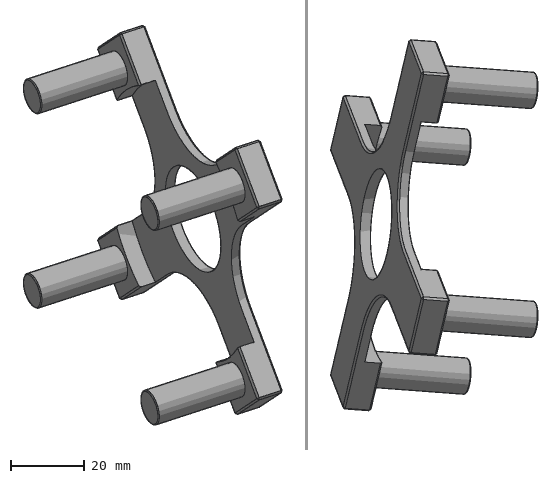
import cadquery as cq
import math

arm_count = 4
arm_reach = 54.0
arm_width = 18.1
web_thickness = 3.0
pad_thickness = 8.0
pad_inner_radius = 39.5
crotch_radius = 20.0
bore_diameter = 30.5
edge_chamfer = 0.55

overall_depth = 35.3
pin_diameter = 10.0
pin_tip_chamfer = 0.3
pin_circle_radius = 45.75

arm_step = 360.0 / arm_count
half_step = arm_step / 2
arm_angles = [half_step + i * arm_step for i in range(arm_count)]
half_width = arm_width / 2
pin_length = overall_depth - pad_thickness

half_step_rad = math.radians(half_step)
crotch_centre_radius = (half_width + crotch_radius) / math.sin(half_step_rad)
tangent_reach = crotch_centre_radius * math.cos(half_step_rad)
waist_radius = crotch_centre_radius - crotch_radius


def turned(along, across, angle):
    """XZ point given along and across an arm that stands at the given angle."""
    a = math.radians(angle)
    x = along * math.cos(a) - across * math.sin(a)
    z = along * math.sin(a) + across * math.cos(a)
    return x, z


def spider_outline():
    """Cross outline with square arm ends and tangent arcs between the arms."""
    outline = cq.Workplane("XZ").moveTo(*turned(tangent_reach, -half_width, arm_angles[0]))
    for angle in arm_angles:
        waist = turned(waist_radius, 0, angle + half_step)
        next_arm_start = turned(tangent_reach, -half_width, angle + arm_step)
        outline = (
            outline.lineTo(*turned(arm_reach, -half_width, angle))
            .lineTo(*turned(arm_reach, half_width, angle))
            .lineTo(*turned(tangent_reach, half_width, angle))
            .threePointArc(waist, next_arm_start)
        )
    return outline.close()


def is_arm_corner(edge):
    """True for an edge that stands at the outer end of an arm."""
    centre = edge.Center()
    return math.hypot(centre.x, centre.z) > pad_inner_radius


def make_spider():
    """Four-armed plate: thin web with a bore, and a thick pad at the end of each arm."""
    blank = spider_outline().extrude(pad_thickness)

    rims = blank.faces("<Y or >Y").edges()
    arm_corners = blank.edges("|Y").filter(is_arm_corner)
    blank = rims.add(arm_corners).chamfer(edge_chamfer)

    recess = (
        cq.Workplane("XZ", origin=(0, -web_thickness, 0))
        .circle(pad_inner_radius)
        .extrude(pad_thickness - web_thickness)
    )
    bore = cq.Workplane("XZ").circle(bore_diameter / 2).extrude(web_thickness)
    return blank.cut(recess).cut(bore)


def make_pin(angle):
    """Plain pin standing on the front of a pad, chamfered at its free end."""
    x, z = turned(pin_circle_radius, 0, angle)
    pin = (
        cq.Workplane("XZ", origin=(x, -pad_thickness, z))
        .circle(pin_diameter / 2)
        .extrude(pin_length)
    )
    return pin.faces("<Y").chamfer(pin_tip_chamfer)


spider = make_spider()
pins = [make_pin(angle) for angle in arm_angles]

result = cq.Compound.makeCompound([spider.val(), *[pin.val() for pin in pins]])